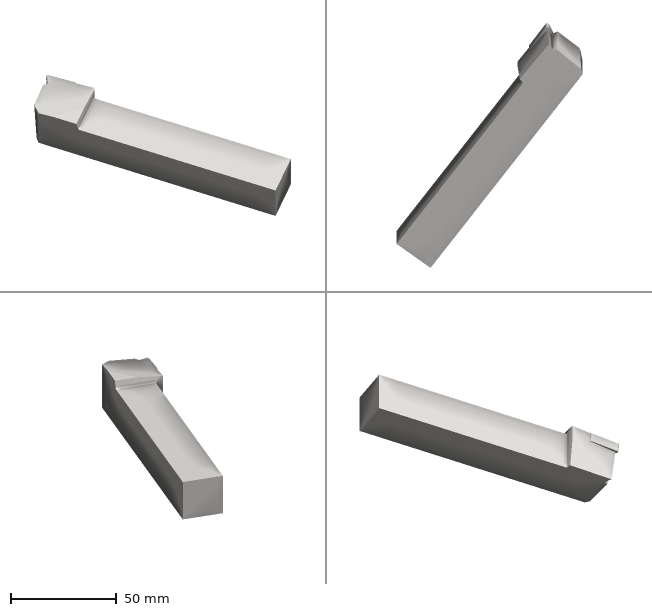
import cadquery as cq
import math


LENGTH = 126.0
SHANK = 20.0
HEAD_HEIGHT = 24.0
HEAD_DEPTH = 24.1
STEP_FOOT = 25.8
STEP_ANGLE = 15.0
STEP_RADIUS = 1.0

FOLD_X = 13.5
FOLD_ANGLE = 44.0
TILT = 8.0
CUT_SIZE = 100.8

FALL_X = -math.sin(math.radians(FOLD_ANGLE))
FALL_Y = math.cos(math.radians(FOLD_ANGLE))
FALL_RATE = math.tan(math.radians(TILT))
TOP_NORMAL = cq.Vector(FALL_X * FALL_RATE, FALL_Y * FALL_RATE, 1.0)

WALL_HEIGHT = 27.7
WALL_LEAN = (TOP_NORMAL.x, TOP_NORMAL.y)
NOSE_CORNER = (2.5, 21.8)
END_WALL_SLOPE = 0.066
SIDE_WALL_SLOPE = 0.03
WALL_MARGIN = 12.6
SIDE_WALL_END = 30.2

CHAMFER_X = 5.7
CHAMFER_Y = 6.3

NOTCH_CORNER = (4.7, 18.5)
NOTCH_LEAN = (-0.055, 0.055)
NOTCH_ANGLE = 30.0
NOTCH_SIZE = 15.1

INSERT_CENTER = (7.4, 20.3)
INSCRIBED_RADIUS = 4.8
CORNER_RADIUS = 0.9
THICKNESS = 4.8
INSERT_SLOPE = 0.04
STUD_DIAMETER = 3.8
LAND_WIDTH = 0.5
LAND_DEPTH = 0.4


def top_height(x, y):
    """Height of the tilted top face above a point."""
    fall_distance = (x - FOLD_X) * FALL_X + y * FALL_Y
    return HEAD_HEIGHT - fall_distance * FALL_RATE


def sheared_prism(points, lean, height):
    """Prism standing on Z = 0 whose walls all lean the same way."""
    moved = [(x + lean[0] * height, y + lean[1] * height) for x, y in points]
    return (
        cq.Workplane("XY").polyline(points).close()
        .workplane(offset=height).polyline(moved).close()
        .loft(ruled=True)
    )


def step_profile(plane, tall):
    """Side outline of the blank: tall head, sloping filleted step, long shank."""
    angle = math.radians(STEP_ANGLE)
    tangent = STEP_RADIUS * math.tan((math.pi / 2 - angle) / 2)
    center = (STEP_FOOT + tangent, SHANK + STEP_RADIUS)
    middle = (3 * math.pi / 2 + math.pi + angle) / 2
    shoulder_x = STEP_FOOT - (tall - SHANK) * math.tan(angle)
    flank_end = (
        STEP_FOOT - tangent * math.sin(angle),
        SHANK + tangent * math.cos(angle),
    )
    arc_middle = (
        center[0] + STEP_RADIUS * math.cos(middle),
        center[1] + STEP_RADIUS * math.sin(middle),
    )
    return (
        cq.Workplane(plane)
        .lineTo(0, tall)
        .lineTo(shoulder_x, tall)
        .lineTo(*flank_end)
        .threePointArc(arc_middle, (center[0], SHANK))
        .lineTo(LENGTH, SHANK)
        .lineTo(LENGTH, 0)
        .close()
    )


def make_blank():
    """Shank and head, stepped on the top and on the +Y side."""
    side = step_profile("XZ", HEAD_HEIGHT).extrude(-HEAD_DEPTH)
    plan = step_profile("XY", HEAD_DEPTH).extrude(HEAD_HEIGHT)
    return side.intersect(plan)


def trim_top(body):
    """Cut away everything above the tilted top face."""
    plane = cq.Plane(
        origin=(FOLD_X, 0, HEAD_HEIGHT),
        xDir=(-FALL_Y, FALL_X, 0),
        normal=TOP_NORMAL.toTuple(),
    )
    return body.cut(cq.Workplane(plane).rect(CUT_SIZE, CUT_SIZE).extrude(CUT_SIZE))


def trim_walls(body):
    """Shape the leaning end wall and the relief below the +Y side."""
    nose_x, nose_y = NOSE_CORNER
    side_end_y = nose_y + SIDE_WALL_SLOPE * (SIDE_WALL_END - nose_x)
    far_x = LENGTH + WALL_MARGIN
    front_x = nose_x + END_WALL_SLOPE * (nose_y + WALL_MARGIN)
    outline = [
        (front_x, -WALL_MARGIN),
        NOSE_CORNER,
        (SIDE_WALL_END, side_end_y),
        (far_x, side_end_y),
        (far_x, -WALL_MARGIN),
    ]
    return body.intersect(sheared_prism(outline, WALL_LEAN, WALL_HEIGHT))


def trim_chamfer(body):
    """Cut the vertical chamfer at the front corner."""
    corner = [(0, 0), (CHAMFER_X, 0), (0, CHAMFER_Y)]
    return body.cut(cq.Workplane("XY").polyline(corner).close().extrude(WALL_HEIGHT))


def trim_notch(body):
    """Cut the leaning square notch that exposes the insert's end edge."""
    angle = math.radians(NOTCH_ANGLE)
    out = (-NOTCH_SIZE * math.cos(angle), -NOTCH_SIZE * math.sin(angle))
    up = (-NOTCH_SIZE * math.sin(angle), NOTCH_SIZE * math.cos(angle))
    x, y = NOTCH_CORNER
    outline = [
        (x, y),
        (x + up[0], y + up[1]),
        (x + up[0] + out[0], y + up[1] + out[1]),
        (x + out[0], y + out[1]),
    ]
    return body.cut(sheared_prism(outline, NOTCH_LEAN, WALL_HEIGHT))


def make_insert(head):
    """Flush triangular insert, bevelled only where it stands clear of the head."""
    x, y = INSERT_CENTER
    edge_rise = top_height(1.3, -INSERT_SLOPE) - top_height(0, 0)
    plane = cq.Plane(
        origin=(x, y, top_height(x, y)),
        xDir=(1.3, -INSERT_SLOPE, edge_rise),
        normal=TOP_NORMAL.toTuple(),
    )
    half_side = INSCRIBED_RADIUS * math.sqrt(3)
    triangle = [
        (-half_side, INSCRIBED_RADIUS),
        (half_side, INSCRIBED_RADIUS),
        (0, -2 * INSCRIBED_RADIUS),
    ]
    plate = (
        cq.Workplane(plane).polyline(triangle).close().extrude(-THICKNESS)
        .edges(cq.selectors.ParallelDirSelector(TOP_NORMAL)).fillet(CORNER_RADIUS)
    )
    bevelled = (
        plate.faces(cq.selectors.DirectionMinMaxSelector(TOP_NORMAL, True))
        .edges().chamfer(LAND_DEPTH, LAND_WIDTH)
    )
    seated = plate.intersect(head)
    hole = cq.Workplane(plane).circle(STUD_DIAMETER / 2).extrude(-THICKNESS)
    return bevelled.union(seated).cut(hole)


def make_holder(head, insert):
    """Head with the insert pocket; the stud in the insert's hole is left standing."""
    return head.cut(insert)


head_body = trim_notch(trim_chamfer(trim_walls(trim_top(make_blank()))))
insert_body = make_insert(head_body)
holder_body = make_holder(head_body, insert_body)

result = cq.Compound.makeCompound([*holder_body.vals(), *insert_body.vals()])